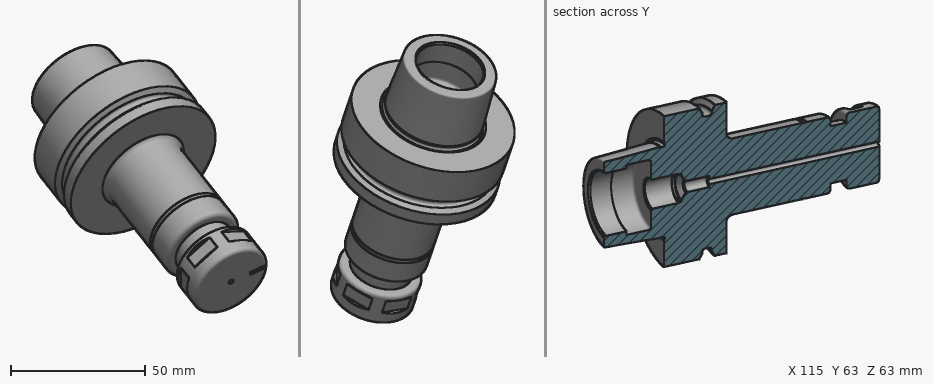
import cadquery as cq
import math


taper_large_radius = 19.1
taper_length = 23.0
taper_slope = 1 / 20
taper_small_radius = taper_large_radius - taper_slope * taper_length
taper_tip_fillet = 0.8
relief_radius = 18.9
relief_start_x = 23.7

flange_radius = 31.5
flange_start_x = 25.0
flange_end_x = 51.1
recess_depth = 0.3
recess_fillet = 0.7
recess_mouth_radius = 20.5
groove_center_x = 42.9
groove_depth = 3.9
groove_mouth_width = 6.4
groove_floor_width = 3.8
groove_wall_angle = 30
groove_fillet = 1.0

shaft_radius = 16.0
shaft_end_x = 94.4
shaft_end_fillet = 1.8
blend_radius = 3.0
blend_height = 1.7
ring_groove_start_x = 82.6
ring_groove_width = 1.6
ring_groove_depth = 0.1

neck_radius = 24.0 / 2
total_length = 115.0
mark_height = 0.3
nut_start_x = 100.9
nut_end_x = total_length - mark_height
nut_radius = shaft_radius
nut_fillet = 1.5

flat_count = 6
flat_distance = 15.0
flat_start_x = 103.4
flat_width = 5.5
flat_wall_lean = 0.5

mark_inner_y = 8.3
mark_outer_y = 14.5
mark_width = 1.0

bore_radius = 26.0 / 2
bore_chamfer = 0.5
bore_chamfer_length = 0.8
undercut_radius = 14.5
undercut_start_x = 9.4
bore_floor_x = 19.5
bore_floor_fillet = 1.2

thread_mouth_radius = 12.9 / 2
thread_radius = 12.0 / 2
thread_depth = 11.5
shoulder_radius = 5.6
shoulder_depth = 1.2
funnel_mouth_radius = 5.1
funnel_end_radius = 6.0 / 2
funnel_length = 1.3
counterbore_radius = 5.0 / 2
counterbore_depth = 1.2
pilot_radius = 4.5 / 2
pilot_depth = 9.2
through_radius = 2.0 / 2


def revolve_about_x(outline):
    """Close an (x, radius) outline and turn it about the X axis."""
    return outline.close().revolve(360, (0, 0, 0), (1, 0, 0))


def make_body():
    """Taper, flange, shaft, neck and nut as one turned piece."""
    recess_floor_x = flange_start_x + recess_depth
    blend_angle = math.acos(1 - blend_height / blend_radius)
    blend_end_x = flange_end_x + blend_radius * math.sin(blend_angle)
    blend_center_radius = shaft_radius + blend_radius
    blend_middle = (
        blend_end_x - blend_radius * math.sin(blend_angle / 2),
        blend_center_radius - blend_radius * math.cos(blend_angle / 2),
    )
    groove_wall_run = (groove_mouth_width - groove_floor_width) / 2
    groove_step_radius = flange_radius - groove_wall_run / math.tan(math.radians(groove_wall_angle))
    ring_groove_end_x = ring_groove_start_x + ring_groove_width
    ring_groove_radius = shaft_radius - ring_groove_depth
    outline = (
        cq.Workplane("XY")
        .lineTo(0, taper_small_radius)
        .lineTo(taper_length, taper_large_radius)
        .lineTo(relief_start_x, relief_radius)
        .lineTo(recess_floor_x - recess_fillet, relief_radius)
        .tangentArcPoint((recess_floor_x, relief_radius + recess_fillet), relative=False)
        .lineTo(flange_start_x, recess_mouth_radius)
        .lineTo(flange_start_x, flange_radius)
        .lineTo(groove_center_x - groove_mouth_width / 2, flange_radius)
        .lineTo(groove_center_x - groove_floor_width / 2, groove_step_radius)
        .lineTo(groove_center_x - groove_floor_width / 2, flange_radius - groove_depth)
        .lineTo(groove_center_x + groove_floor_width / 2, flange_radius - groove_depth)
        .lineTo(groove_center_x + groove_floor_width / 2, groove_step_radius)
        .lineTo(groove_center_x + groove_mouth_width / 2, flange_radius)
        .lineTo(flange_end_x, flange_radius)
        .lineTo(flange_end_x, shaft_radius + blend_height)
        .threePointArc(blend_middle, (blend_end_x, shaft_radius))
        .lineTo(ring_groove_start_x, shaft_radius)
        .lineTo(ring_groove_start_x, ring_groove_radius)
        .lineTo(ring_groove_end_x, ring_groove_radius)
        .lineTo(ring_groove_end_x, shaft_radius)
        .lineTo(shaft_end_x, shaft_radius)
        .lineTo(shaft_end_x, neck_radius)
        .lineTo(nut_start_x, neck_radius)
        .lineTo(nut_start_x, nut_radius)
        .lineTo(nut_end_x, nut_radius)
        .lineTo(nut_end_x, 0)
    )
    return revolve_about_x(outline)


def fillet_rim(body, x, radius, fillet):
    """Round the circular edge of the given radius at the given x."""
    tolerance = 0.01
    rim = [
        edge
        for edge in body.edges("%CIRCLE").vals()
        if abs(edge.Center().x - x) < tolerance and abs(edge.radius() - radius) < tolerance
    ]
    return body.newObject(rim).fillet(fillet)


def make_bore():
    """Clamping bore, its undercut and the stepped hole through the holder."""
    thread_chamfer = thread_mouth_radius - thread_radius
    thread_end_x = bore_floor_x + thread_depth
    shoulder_end_x = thread_end_x + shoulder_depth
    funnel_end_x = shoulder_end_x + funnel_length
    counterbore_chamfer = funnel_end_radius - counterbore_radius
    counterbore_end_x = funnel_end_x + counterbore_depth
    pilot_end_x = counterbore_end_x + pilot_depth
    outline = (
        cq.Workplane("XY")
        .lineTo(0, bore_radius + bore_chamfer)
        .lineTo(bore_chamfer_length, bore_radius)
        .lineTo(undercut_start_x, bore_radius)
        .lineTo(undercut_start_x, undercut_radius)
        .lineTo(bore_floor_x - bore_floor_fillet, undercut_radius)
        .tangentArcPoint((bore_floor_x, undercut_radius - bore_floor_fillet), relative=False)
        .lineTo(bore_floor_x, thread_mouth_radius)
        .lineTo(bore_floor_x + thread_chamfer, thread_radius)
        .lineTo(thread_end_x, thread_radius)
        .lineTo(thread_end_x, shoulder_radius)
        .lineTo(shoulder_end_x, shoulder_radius)
        .lineTo(shoulder_end_x, funnel_mouth_radius)
        .lineTo(funnel_end_x, funnel_end_radius)
        .lineTo(funnel_end_x + counterbore_chamfer, counterbore_radius)
        .lineTo(counterbore_end_x, counterbore_radius)
        .lineTo(counterbore_end_x, pilot_radius)
        .lineTo(pilot_end_x, pilot_radius)
        .lineTo(pilot_end_x, through_radius)
        .lineTo(total_length, through_radius)
        .lineTo(total_length, 0)
    )
    return revolve_about_x(outline)


def make_flat_cutter():
    """Block that cuts one wrench flat on the -Y side, with leaning end walls."""
    flat_depth = nut_radius - flat_distance
    flat_end_x = flat_start_x + flat_width
    return (
        cq.Workplane("XY")
        .moveTo(flat_start_x, -flat_distance)
        .lineTo(flat_end_x, -flat_distance)
        .lineTo(flat_end_x + flat_wall_lean, -flat_distance - flat_depth)
        .lineTo(flat_start_x - flat_wall_lean, -flat_distance - flat_depth)
        .close()
        .extrude(nut_radius, both=True)
    )


def make_index_mark():
    """Thin radial bar that stands on the nut face."""
    return (
        cq.Workplane("YZ", origin=(nut_end_x, 0, 0))
        .center((mark_inner_y + mark_outer_y) / 2, 0)
        .rect(mark_outer_y - mark_inner_y, mark_width)
        .extrude(mark_height)
    )


body = make_body()
body = fillet_rim(body, 0, taper_small_radius, taper_tip_fillet)
for side in (-1, 1):
    groove_corner_x = groove_center_x + side * groove_floor_width / 2
    body = fillet_rim(body, groove_corner_x, flange_radius - groove_depth, groove_fillet)
body = fillet_rim(body, shaft_end_x, shaft_radius, shaft_end_fillet)
for nut_face_x in (nut_start_x, nut_end_x):
    body = fillet_rim(body, nut_face_x, nut_radius, nut_fillet)

body = body.cut(make_bore())
flat_cutter = make_flat_cutter()
for index in range(flat_count):
    angle = index * 360 / flat_count
    body = body.cut(flat_cutter.rotate((0, 0, 0), (1, 0, 0), angle))

result = body.union(make_index_mark())